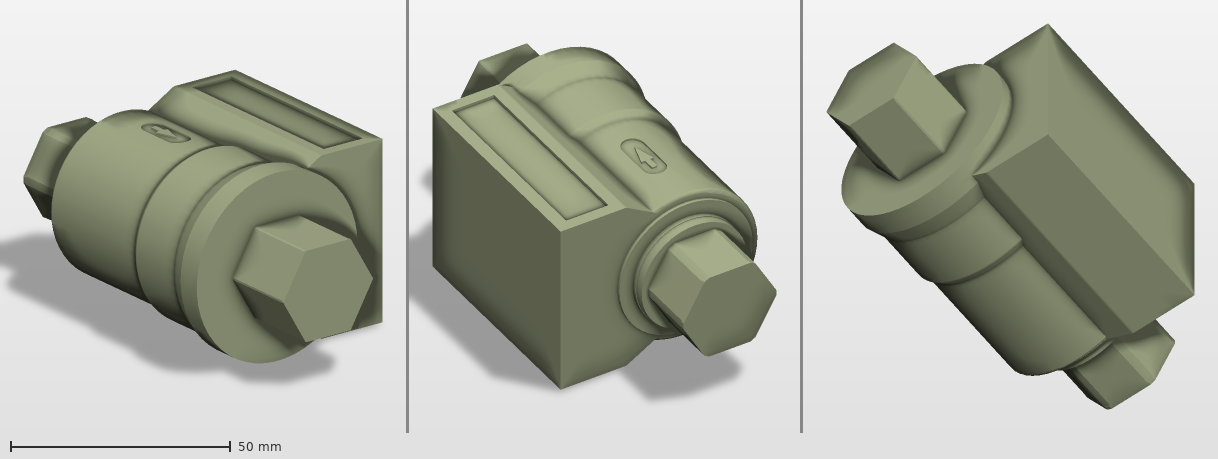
import cadquery as cq
import math

total_length = 98.5
total_depth = 56.0
wrench_size = 22.3
half_side_angle = 30.0
hex_corner_ratio = 1 / math.cos(math.radians(half_side_angle))

inlet_hex_length = 15.5
inlet_turned_radius = 12.3
inlet_tip_length = 1.0
inlet_tip_reach = 12.4
inlet_collar_end = 17.8
inlet_collar_radius = 14.1

neck_end = 19.0
neck_radius = 14.3
barrel_start = 19.9
end_disc_radius = 17.8
barrel_radius = 20.0
barrel_fillet = 0.9
step_start = 52.0
step_end = 54.1
shoulder_radius = 21.3
step_fillet = 0.9
flare_start = 68.4
flare_end = 73.2
flange_radius = 46.0 / 2
housing_end = 76.2

box_end = 75.5
box_outer_y = total_depth - flange_radius
box_half_height = 22.4
box_slope_y = 15.5
box_slope_angle = 30.0
box_edge_fillet = 1.3
pocket_end_margin = 3.0
pocket_outer_y = 29.7
pocket_inner_y = 18.4
pocket_depth = 1.0

mark_center_x = 37.4
mark_length = 15.0
mark_width = 5.9
mark_depth = 0.5
arrow_start = 32.7
arrow_head_start = 35.8
arrow_tip = 41.4
arrow_shaft_half_width = 0.7
arrow_head_half_width = 1.7

outlet_flange_end = 79.3
outlet_turned_radius = 12.7
outlet_tip_length = 0.5
outlet_tip_reach = 12.8


def disc(x_start, x_end, radius):
    """Cylinder on the valve axis."""
    return cq.Workplane("YZ", origin=(x_start, 0, 0)).circle(radius).extrude(x_end - x_start)


def hexagon(x_start, x_end):
    """Hexagonal bar with flats facing up and down."""
    corner_diameter = wrench_size * hex_corner_ratio
    return cq.Workplane("YZ", origin=(x_start, 0, 0)).polygon(6, corner_diameter).extrude(x_end - x_start)


def turned_hexagon(x_start, x_end, radius):
    """Hexagonal bar with its corners turned down to a radius."""
    return hexagon(x_start, x_end).intersect(disc(x_start, x_end, radius))


def hexagon_tip(x_start, x_end, reach):
    """Hexagonal bar with its corners cut flat by a second hexagon, turned by half a side."""
    cutter_diameter = 2 * reach * hex_corner_ratio
    cutter = (
        cq.Workplane("YZ", origin=(x_start, 0, 0))
        .polygon(6, cutter_diameter)
        .extrude(x_end - x_start)
        .rotate((0, 0, 0), (1, 0, 0), half_side_angle)
    )
    return hexagon(x_start, x_end).intersect(cutter)


def make_inlet_fitting():
    tip = hexagon_tip(0, inlet_tip_length, inlet_tip_reach)
    grip = turned_hexagon(inlet_tip_length, inlet_hex_length, inlet_turned_radius)
    collar = disc(inlet_hex_length, inlet_collar_end, inlet_collar_radius)
    return collar.union(grip).union(tip)


def make_outlet_fitting():
    tip_start = total_length - outlet_tip_length
    flange = disc(housing_end, outlet_flange_end, flange_radius)
    grip = turned_hexagon(outlet_flange_end, tip_start, outlet_turned_radius)
    tip = hexagon_tip(tip_start, total_length, outlet_tip_reach)
    return flange.union(grip).union(tip)


def fillet_ring(body, x, radius):
    """Round the full circular edges of a turned body that lie at one x."""
    reach = 2 * flange_radius
    tolerance = 0.01
    ring = cq.selectors.BoxSelector((x - tolerance, -reach, -reach), (x + tolerance, reach, reach))
    return body.edges("%CIRCLE").edges(ring).fillet(radius)


def make_barrel():
    barrel = (
        cq.Workplane("XY")
        .moveTo(barrel_start, 0)
        .lineTo(barrel_start, barrel_radius)
        .lineTo(step_start, barrel_radius)
        .lineTo(step_end, shoulder_radius)
        .lineTo(flare_start, shoulder_radius)
        .lineTo(flare_end, flange_radius)
        .lineTo(housing_end, flange_radius)
        .lineTo(housing_end, 0)
        .close()
        .revolve(360, (0, 0, 0), (1, 0, 0))
    )
    barrel = fillet_ring(barrel, barrel_start, barrel_fillet)
    for x in (step_start, step_end):
        barrel = fillet_ring(barrel, x, step_fillet)
    end_disc = disc(neck_end, barrel_start, end_disc_radius)
    neck = disc(inlet_collar_end, neck_end, neck_radius)
    return barrel.union(end_disc).union(neck)


def make_side_box():
    buried_half_height = box_half_height - box_slope_y * math.tan(math.radians(box_slope_angle))
    box = (
        cq.Workplane("YZ", origin=(barrel_start, 0, 0))
        .polyline(
            [
                (box_outer_y, box_half_height),
                (box_slope_y, box_half_height),
                (0, buried_half_height),
                (0, -buried_half_height),
                (box_slope_y, -box_half_height),
                (box_outer_y, -box_half_height),
            ]
        )
        .close()
        .extrude(box_end - barrel_start)
    )
    slope_edges = cq.selectors.BoxSelector(
        (barrel_start, box_slope_y - box_edge_fillet, -box_outer_y),
        (box_end, box_slope_y + box_edge_fillet, box_outer_y),
    )
    box = box.edges(slope_edges).fillet(box_edge_fillet)
    pocket_start = barrel_start + pocket_end_margin
    pocket_length = box_end - pocket_end_margin - pocket_start
    pocket_floor = box_half_height - pocket_depth
    pocket = (
        cq.Workplane("XY", origin=(pocket_start, pocket_inner_y, pocket_floor))
        .rect(pocket_length, pocket_outer_y - pocket_inner_y, centered=False)
        .extrude(pocket_depth)
    )
    return box.cut(pocket)


def make_flow_mark_cut():
    """Skin of the barrel that is removed inside the obround and around the arrow."""
    outline = (
        cq.Workplane("XY", origin=(mark_center_x, 0, 0))
        .slot2D(mark_length, mark_width)
        .extrude(flange_radius)
    )
    arrow = (
        cq.Workplane("XY")
        .polyline(
            [
                (arrow_start, -arrow_shaft_half_width),
                (arrow_head_start, -arrow_shaft_half_width),
                (arrow_head_start, -arrow_head_half_width),
                (arrow_tip, 0),
                (arrow_head_start, arrow_head_half_width),
                (arrow_head_start, arrow_shaft_half_width),
                (arrow_start, arrow_shaft_half_width),
            ]
        )
        .close()
        .extrude(flange_radius)
    )
    core = disc(barrel_start, step_start, barrel_radius - mark_depth)
    return outline.cut(arrow).cut(core)


def make_housing():
    return make_barrel().union(make_side_box()).cut(make_flow_mark_cut())


inlet_fitting = make_inlet_fitting()
housing = make_housing()
outlet_fitting = make_outlet_fitting()

result = cq.Compound.makeCompound([inlet_fitting.val(), housing.val(), outlet_fitting.val()])